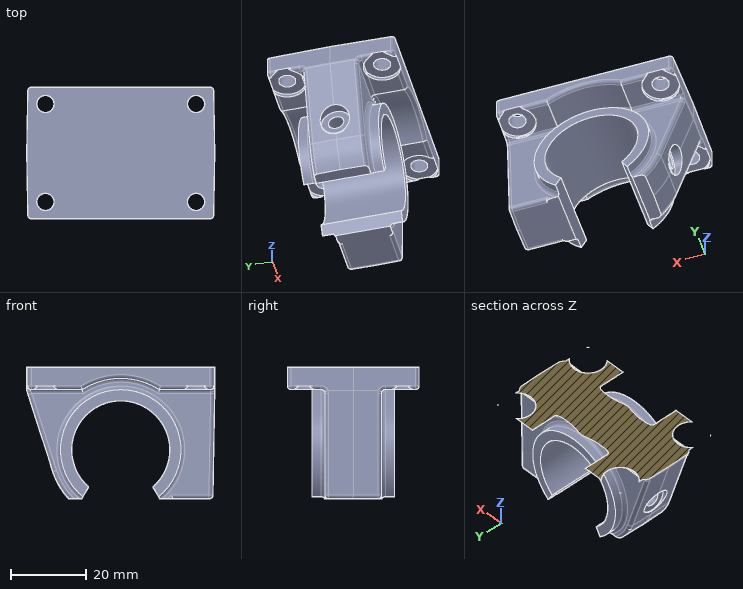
import cadquery as cq
import math


LENGTH = 50.0
WIDTH = 35.0
TOP_Z = 22.0
BOTTOM_Z = -13.0
SIDE_DRAFT = 1.0
EDGE_RADIUS = 1.0

PLATE_THICKNESS = 6.0
HOLE_DIAMETER = 4.5
HOLE_SPACING_X = 40.0
HOLE_SPACING_Y = 26.0
SPOTFACE_DIAMETER = 10.0
SPOTFACE_DEPTH = 1.0
ARCH_RADIUS = 19.0

WEB_THICKNESS = 15.0
BEND_Z = 15.8
BEND_LENGTH = 0.15
ARM_RADIUS = 19.0

COLLAR_RADIUS = 16.0
COLLAR_LENGTH = 22.0
BORE_RADIUS = 13.0
MOUTH_WIDTH = 17.0
MOUTH_FLARE = 30.0

SCREW_DIAMETER = 4.2
SCREW_HEAD_DIAMETER = 8.0
SCREW_SEAT_X = -18.5

OVERRUN = 2.5
TOL = 0.05

half_length = LENGTH / 2
half_width = WIDTH / 2
half_web = WEB_THICKNESS / 2
plate_bottom = TOP_Z - PLATE_THICKNESS
draft_slope = math.tan(math.radians(SIDE_DRAFT))


def cylinder_y(radius, length):
    """Cylinder on the clamp axis, centred on the XZ plane."""
    return cq.Workplane("XZ").circle(radius).extrude(length / 2, both=True)


def above_bottom(shape):
    """Trim a shape flat at the bottom of the part."""
    space = cq.Workplane("XY").workplane(offset=BOTTOM_Z).rect(2 * LENGTH, 2 * WIDTH).extrude(LENGTH)
    return shape.intersect(space)


def edges_in(shape, low, high):
    """Edges whose centres lie in a box, given on the +Y side, and in its mirror image at -Y."""
    (x0, y0, z0), (x1, y1, z1) = low, high
    near = cq.selectors.BoxSelector((x0, -y1, z0), (x1, -y0, z1))
    far = cq.selectors.BoxSelector(low, high)
    return shape.edges(near + far)


def make_opening():
    """Bore together with the flared mouth below it."""
    half_mouth = MOUTH_WIDTH / 2
    mouth_top = -math.sqrt(BORE_RADIUS**2 - half_mouth**2)
    low_z = BOTTOM_Z - OVERRUN
    half_low = half_mouth + (mouth_top - low_z) * math.tan(math.radians(MOUTH_FLARE))
    mouth = (
        cq.Workplane("XZ")
        .polyline([
            (0, 0), (half_mouth, mouth_top), (half_low, low_z),
            (-half_low, low_z), (-half_mouth, mouth_top),
        ])
        .close()
        .extrude(half_width, both=True)
    )
    return cylinder_y(BORE_RADIUS, WIDTH).union(mouth)


def make_plate():
    end_x = half_length - half_width * draft_slope
    outline = [
        (half_length, 0), (end_x, half_width), (-end_x, half_width),
        (-half_length, 0), (-end_x, -half_width), (end_x, -half_width),
    ]
    plate = (
        cq.Workplane("XY").workplane(offset=plate_bottom)
        .polyline(outline).close().extrude(PLATE_THICKNESS)
    )
    return plate.cut(cylinder_y(ARCH_RADIUS, WIDTH + OVERRUN))


def make_web():
    """Web tapering both ways from the XZ plane, before any edge is rounded."""
    def on_arm(angle):
        return (ARM_RADIUS * math.cos(angle), ARM_RADIUS * math.sin(angle))

    corner_angle = math.pi - math.atan2(BEND_Z, half_length)
    tangent_angle = corner_angle + math.acos(ARM_RADIUS / math.hypot(half_length, BEND_Z))
    slope_angle = tangent_angle - math.pi
    bend_start = (-half_length, BEND_Z + BEND_LENGTH)
    bend_end = (
        -half_length + BEND_LENGTH * math.sin(slope_angle),
        BEND_Z - BEND_LENGTH * math.cos(slope_angle),
    )

    web_top = TOP_Z - EDGE_RADIUS
    low_z = BOTTOM_Z - OVERRUN
    low_x = half_length - (BEND_Z - low_z) * draft_slope
    arm_end_angle = math.pi + math.asin(-low_z / ARM_RADIUS)

    half = (
        cq.Workplane("XZ")
        .moveTo(half_length, web_top)
        .lineTo(-half_length, web_top)
        .lineTo(*bend_start)
        .tangentArcPoint(bend_end, relative=False)
        .lineTo(*on_arm(tangent_angle))
        .threePointArc(on_arm((tangent_angle + arm_end_angle) / 2), on_arm(arm_end_angle))
        .lineTo(low_x, low_z)
        .lineTo(half_length, BEND_Z)
        .close()
        .extrude(half_web, taper=SIDE_DRAFT)
    )
    return above_bottom(half.union(half.mirror("XZ")))


def round_edges(body):
    inner_x = half_length - OVERRUN
    plate_joint = edges_in(
        body, (-inner_x, half_web - TOL, plate_bottom - TOL), (inner_x, half_web + TOL, TOP_Z)
    )
    body = plate_joint.fillet(EDGE_RADIUS)

    joint_z = plate_bottom - EDGE_RADIUS
    ends = edges_in(
        body,
        (-half_length, half_web - TOL, BOTTOM_Z + TOL),
        (half_length, half_web + TOL, joint_z - TOL),
    )
    bottom = edges_in(
        body, (0, half_web - TOL, BOTTOM_Z - TOL), (half_length, half_web + TOL, BOTTOM_Z + TOL)
    )
    bottom_end = edges_in(
        body, (half_length - OVERRUN, 0, BOTTOM_Z - TOL), (half_length, half_web - TOL, BOTTOM_Z + TOL)
    )

    plate_sides = edges_in(
        body,
        (-half_length, half_width - TOL, plate_bottom - TOL),
        (half_length, half_width + TOL, TOP_Z - TOL),
    )
    outer_edges = ends.vals() + bottom.vals() + bottom_end.vals() + plate_sides.vals()
    return body.newObject(outer_edges).fillet(EDGE_RADIUS)


def make_collar():
    """Collar with a concave flare where it leaves each web face."""
    half_collar = COLLAR_LENGTH / 2
    flare_radius = COLLAR_RADIUS + EDGE_RADIUS
    flare_end = half_web + EDGE_RADIUS
    arc_offset = EDGE_RADIUS * math.sqrt(0.5)
    arc_middle = (flare_radius - arc_offset, flare_end - arc_offset)
    half = (
        cq.Workplane("XY")
        .lineTo(flare_radius, 0)
        .lineTo(flare_radius, half_web)
        .threePointArc(arc_middle, (COLLAR_RADIUS, flare_end))
        .lineTo(COLLAR_RADIUS, half_collar)
        .lineTo(0, half_collar)
        .close()
        .revolve(360, (0, 0, 0), (0, 1, 0))
    )
    return above_bottom(half.union(half.mirror("XZ")))


def make_arm_end():
    """Round-edged arm tip beside the mouth on +X, flat at the bottom of the part."""
    arm = cylinder_y(ARM_RADIUS, WEB_THICKNESS).edges().fillet(EDGE_RADIUS)
    quarter = (
        cq.Workplane("XZ").rect(ARM_RADIUS, BOTTOM_Z, centered=False)
        .extrude(half_web, both=True)
    )
    return arm.intersect(quarter)


def cut_mounting_holes(body):
    spots = (
        cq.Workplane("XY").workplane(offset=plate_bottom + SPOTFACE_DEPTH)
        .rect(HOLE_SPACING_X, HOLE_SPACING_Y, forConstruction=True).vertices()
    )
    holes = spots.circle(HOLE_DIAMETER / 2).extrude(PLATE_THICKNESS)
    spotfaces = spots.circle(SPOTFACE_DIAMETER / 2).extrude(-SPOTFACE_DEPTH)
    return body.cut(holes).cut(spotfaces)


def cut_screw_hole(body):
    seat = cq.Workplane("YZ").workplane(offset=SCREW_SEAT_X)
    head = seat.circle(SCREW_HEAD_DIAMETER / 2).extrude(-half_length)
    shank = seat.circle(SCREW_DIAMETER / 2).extrude(-SCREW_SEAT_X)
    return body.cut(head).cut(shank)


opening = make_opening()
body = make_plate().union(make_web()).clean().cut(opening)
body = round_edges(body)
clamp = make_collar().union(make_arm_end()).cut(opening)
body = body.union(clamp)
body = cut_mounting_holes(body)
result = cut_screw_hole(body)